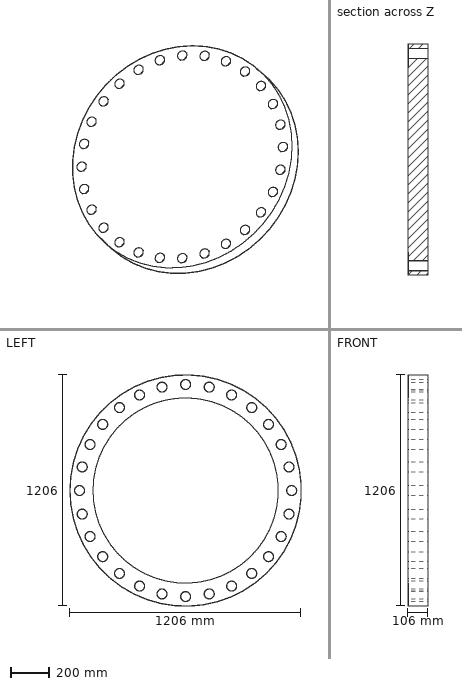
import cadquery as cq

flange_diameter = 1206.0
total_thickness = 106.0
raised_face_diameter = 965.0
raised_face_height = 1.0
bolt_circle_diameter = 1105.0
bolt_hole_diameter = 51.0
bolt_hole_count = 28

plate_thickness = total_thickness - raised_face_height
plate = (
    cq.Workplane("YZ")
    .workplane(offset=raised_face_height)
    .circle(flange_diameter / 2)
    .extrude(plate_thickness)
)

raised_face = cq.Workplane("YZ").circle(raised_face_diameter / 2).extrude(raised_face_height)

bolt_holes = (
    cq.Workplane("YZ")
    .polarArray(bolt_circle_diameter / 2, 0, 360, bolt_hole_count)
    .circle(bolt_hole_diameter / 2)
    .extrude(total_thickness)
)

result = plate.union(raised_face).cut(bolt_holes)